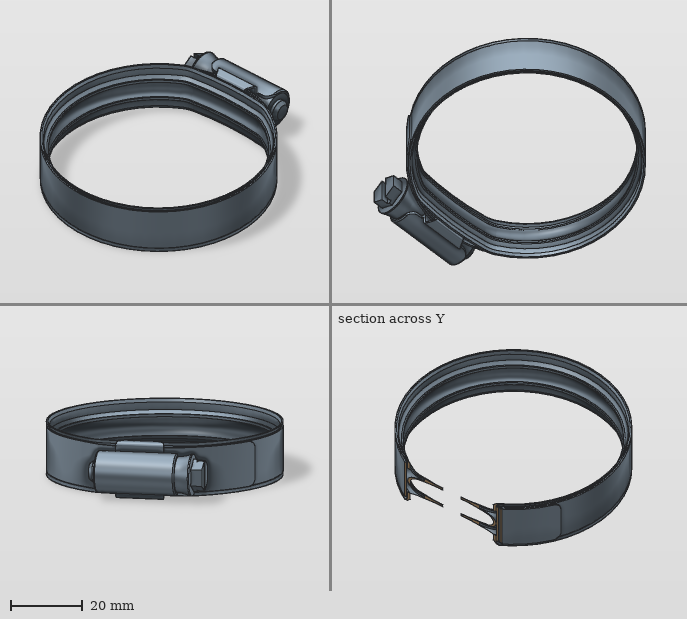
import cadquery as cq
import math


ring_diameter = 66.1
ring_radius = ring_diameter / 2
sheet = 0.45
wall_radius = ring_radius - sheet

lip_height = 7.5
lip_start_height = 6.6
bead_foot_height = 4.45
bead_crest_height = 3.45
groove_edge_height = 2.7
bead_depth = 1.4

arch_top = 31.1
arch_radius = 92.1
arch_corner_radius = 10.35

band_width = 12.8
lap_gap = 0.15
tail_inner_radius = ring_radius + lap_gap
tail_outer_radius = tail_inner_radius + sheet
ramp_start_angle = 57
tail_end_angle = 150
tail_corner_radius = 2.3

axis_y = 37.8
screw_radius = 5.0
head_diameter = 11.75
head_radius = head_diameter / 2
head_rim_width = 0.4
head_front_x = -16.0
head_rim_x = -15.35
head_front_radius = 3.8
head_waist_sag = 0.19
hex_across_flats = 8.0
hex_end_x = -19.1
slot_width = 1.4
slot_depth = 2.1
tip_diameter = 6.2
tip_radius = tip_diameter / 2
tip_chamfer_x = 12.35
tip_end_radius = 2.2
tip_end_x = 13.5

housing_length = 22.9
cap_radius = head_radius
cap_edge_chamfer = 0.4
skirt_bottom = 35.15
skirt_corner_radius = 2.9
saddle_width = 16.0
saddle_top = 34.75
saddle_sheet = 0.575
saddle_bend_radius = 1.0
saddle_top_length = 14.1
saddle_bottom_length = 10.1


def polar(radius, angle):
    """Point in the XY plane at an angle in degrees from +X."""
    return (radius * math.cos(math.radians(angle)), radius * math.sin(math.radians(angle)))


def liner_path():
    """Closed path of the liner lip: the ring, the arch and the rounded corners between them."""
    arch_center_y = arch_top - arch_radius
    to_ring = ring_radius - arch_corner_radius
    to_arch = arch_radius - arch_corner_radius
    corner_y = (to_ring**2 - to_arch**2 + arch_center_y**2) / (2 * arch_center_y)
    corner_x = math.sqrt(to_ring**2 - corner_y**2)
    ring_angle = math.atan2(corner_y, corner_x)
    arch_angle = math.atan2(corner_y - arch_center_y, corner_x)
    middle_angle = (ring_angle + arch_angle) / 2

    def on_corner(angle):
        return (
            corner_x + arch_corner_radius * math.cos(angle),
            corner_y + arch_corner_radius * math.sin(angle),
        )

    def mirrored(point):
        return (-point[0], point[1])

    ring_end = on_corner(ring_angle)
    corner_middle = on_corner(middle_angle)
    arch_end = on_corner(arch_angle)
    return (
        cq.Workplane("XY")
        .moveTo(0, -ring_radius)
        .threePointArc((ring_radius, 0), ring_end)
        .threePointArc(corner_middle, arch_end)
        .threePointArc((0, arch_top), mirrored(arch_end))
        .threePointArc(mirrored(corner_middle), mirrored(ring_end))
        .threePointArc((-ring_radius, 0), (0, -ring_radius))
        .close()
    )


def make_liner():
    """Sheet section with two inward beads and a hollow between them, swept around the path."""
    wall_y = -wall_radius
    crest_y = wall_y + bead_depth
    section = (
        cq.Workplane("YZ")
        .moveTo(-ring_radius, -lip_height)
        .lineTo(wall_y, -lip_start_height)
        .lineTo(wall_y, -bead_foot_height)
        .lineTo(crest_y, -bead_crest_height)
        .lineTo(crest_y, -groove_edge_height)
        .threePointArc((wall_y, 0), (crest_y, groove_edge_height))
        .lineTo(crest_y, bead_crest_height)
        .lineTo(wall_y, bead_foot_height)
        .lineTo(wall_y, lip_start_height)
        .lineTo(-ring_radius, lip_height)
        .lineTo(-ring_radius + sheet, lip_height)
        .lineTo(wall_y + sheet, lip_start_height)
        .lineTo(wall_y + sheet, bead_foot_height)
        .lineTo(crest_y + sheet, bead_crest_height)
        .lineTo(crest_y + sheet, groove_edge_height)
        .threePointArc((wall_y + sheet, 0), (crest_y + sheet, -groove_edge_height))
        .lineTo(crest_y + sheet, -bead_crest_height)
        .lineTo(wall_y + sheet, -bead_foot_height)
        .lineTo(wall_y + sheet, -lip_start_height)
        .lineTo(-ring_radius + sheet, -lip_height)
        .close()
    )
    return section.sweep(liner_path())


def make_band(screw):
    """One strip: from below the screw around the ring, then over its own start as a free tail."""

    def face_points(ring, tail):
        """Corners of one face of the strip, from its start to the end of the tail."""
        ramp_end_angle = ramp_start_angle + math.degrees(math.acos(ring / tail))
        return {
            "start": (0, ring),
            "ring_middle": polar(ring, (90 + 360 + ramp_start_angle) / 2),
            "ramp_start": polar(ring, ramp_start_angle),
            "ramp_end": polar(tail, ramp_end_angle),
            "tail_middle": polar(tail, (ramp_end_angle + tail_end_angle) / 2),
            "tail_end": polar(tail, tail_end_angle),
        }

    outer = face_points(ring_radius, tail_outer_radius)
    inner = face_points(wall_radius, tail_inner_radius)
    strip = (
        cq.Workplane("XY", origin=(0, 0, -band_width / 2))
        .moveTo(*outer["start"])
        .threePointArc(outer["ring_middle"], outer["ramp_start"])
        .lineTo(*outer["ramp_end"])
        .threePointArc(outer["tail_middle"], outer["tail_end"])
        .lineTo(*inner["tail_end"])
        .threePointArc(inner["tail_middle"], inner["ramp_end"])
        .lineTo(*inner["ramp_start"])
        .threePointArc(inner["ring_middle"], inner["start"])
        .close()
        .extrude(band_width)
    )
    tail_x, tail_y = polar((tail_inner_radius + tail_outer_radius) / 2, tail_end_angle)
    for side in (-1, 1):
        corner = cq.selectors.NearestToPointSelector((tail_x, tail_y, side * band_width / 2))
        strip = strip.edges(corner).fillet(tail_corner_radius)
    return strip.cut(screw)


def make_screw():
    """Turned screw with a flared head, a slotted hexagon on one end and a stepped tip on the other."""
    half_length = housing_length / 2
    waist_x = (head_rim_x - half_length) / 2
    waist_radius = (head_radius + screw_radius) / 2 - head_waist_sag
    turned = (
        cq.Workplane("XY", origin=(0, axis_y, 0))
        .moveTo(head_front_x, 0)
        .lineTo(head_front_x, head_front_radius)
        .lineTo(head_rim_x - head_rim_width, head_radius)
        .lineTo(head_rim_x, head_radius)
        .threePointArc((waist_x, waist_radius), (-half_length, screw_radius))
        .lineTo(half_length, screw_radius)
        .lineTo(half_length, tip_radius)
        .lineTo(tip_chamfer_x, tip_radius)
        .lineTo(tip_end_x, tip_end_radius)
        .lineTo(tip_end_x, 0)
        .close()
        .revolve(360, (0, 0, 0), (1, 0, 0))
    )
    hexagon = (
        cq.Workplane("YZ", origin=(hex_end_x, axis_y, 0))
        .polygon(6, hex_across_flats, circumscribed=True)
        .extrude(head_rim_x - hex_end_x)
    )
    slot = cq.Workplane("XY").box(2 * slot_depth, slot_width, 2 * hex_across_flats)
    slot = slot.translate((hex_end_x, axis_y, 0))
    return turned.union(hexagon).cut(slot)


def make_cap():
    """Shell over the screw whose side skirts have rounded lower corners."""
    shell = (
        cq.Workplane("YZ", origin=(-housing_length / 2, axis_y, 0))
        .circle(cap_radius)
        .extrude(housing_length)
        .edges()
        .chamfer(cap_edge_chamfer)
    )
    cap_top = axis_y + cap_radius
    keep = (
        cq.Workplane("XY")
        .box(housing_length, cap_top - skirt_bottom, 2 * cap_radius)
        .edges("|Z and <Y")
        .fillet(skirt_corner_radius)
        .translate((0, (cap_top + skirt_bottom) / 2, 0))
    )
    return shell.intersect(keep)


def make_saddle():
    """Bent sheet frame around the band, joined to the cap and tapered towards the ring."""
    height = saddle_top - arch_top
    middle_y = (saddle_top + arch_top) / 2
    underside = saddle_top - saddle_sheet
    frame = (
        cq.Workplane("XY")
        .box(saddle_top_length, height, saddle_width)
        .edges("|X")
        .fillet(saddle_bend_radius)
        .translate((0, middle_y, 0))
    )
    opening = (
        cq.Workplane("XY")
        .box(saddle_top_length, height - 2 * saddle_sheet, saddle_width - 2 * saddle_sheet)
        .edges("|X")
        .fillet(saddle_bend_radius - saddle_sheet)
        .translate((0, middle_y, 0))
    )
    skirts = (
        cq.Workplane("YZ", origin=(-saddle_top_length / 2, axis_y, 0))
        .circle(cap_radius)
        .extrude(saddle_top_length)
    )
    skirt_slice = (
        cq.Workplane("XY")
        .box(saddle_top_length, skirt_bottom - underside, 2 * cap_radius)
        .translate((0, (skirt_bottom + underside) / 2, 0))
    )
    saddle = frame.cut(opening).union(skirts.intersect(skirt_slice))
    taper = (
        cq.Workplane("XY", origin=(0, 0, -saddle_width / 2))
        .polyline([
            (-saddle_top_length / 2, skirt_bottom),
            (-saddle_bottom_length / 2, arch_top),
            (saddle_bottom_length / 2, arch_top),
            (saddle_top_length / 2, skirt_bottom),
        ])
        .close()
        .extrude(saddle_width)
    )
    return saddle.intersect(taper)


def make_housing():
    """Cap and saddle in one piece, bored to fit the screw."""
    bore = (
        cq.Workplane("YZ", origin=(-housing_length / 2, axis_y, 0))
        .circle(screw_radius)
        .extrude(housing_length)
    )
    return make_cap().union(make_saddle()).cut(bore)


liner = make_liner()
screw = make_screw()
band = make_band(screw)
housing = make_housing()

result = cq.Compound.makeCompound([
    *liner.solids().vals(),
    *band.solids().vals(),
    *screw.solids().vals(),
    *housing.solids().vals(),
])